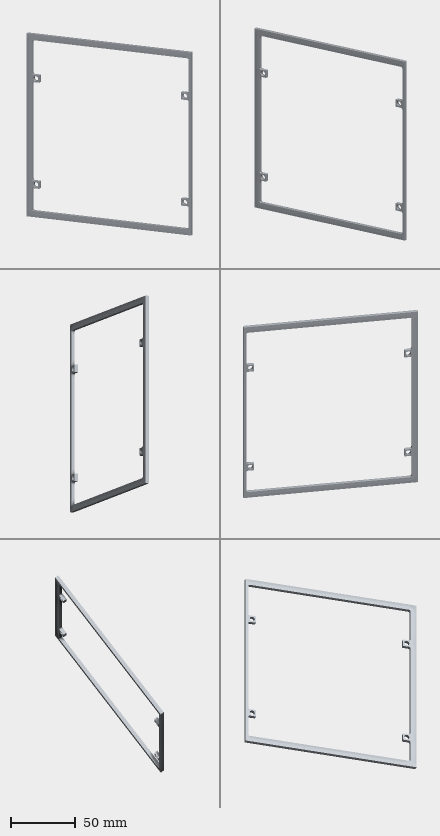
import cadquery as cq

WIDTH = 138.0
HEIGHT = 147.6
DEPTH = 3.0

BAR = 4.9
RIGHT_BAR = 2.2
CORNER_RADIUS = 1.2

TAB_HEIGHT = 5.9
LEFT_TAB_LENGTH = 5.9
RIGHT_TAB_LENGTH = 6.2
TAB_LEVELS = (38.1, -47.5)
HOLE_DIAMETER = 4.0
HOLE_FROM_TAB_END = 3.0

LEFT_INNER = -WIDTH / 2 + BAR
RIGHT_INNER = WIDTH / 2 - RIGHT_BAR
LEFT_TAB_END = LEFT_INNER + LEFT_TAB_LENGTH
RIGHT_TAB_END = RIGHT_INNER - RIGHT_TAB_LENGTH


def block(x_start, x_end, z_center, height):
    """Full-depth block between two X positions."""
    return cq.Workplane("XY").box(x_end - x_start, DEPTH, height).translate(
        ((x_start + x_end) / 2, 0, z_center)
    )


def tab_hole(x, z):
    """Screw hole running through the depth of the frame."""
    return cq.Workplane("XZ").center(x, z).circle(HOLE_DIAMETER / 2).extrude(DEPTH, both=True)


window = block(LEFT_INNER, RIGHT_INNER, 0, HEIGHT - 2 * BAR)
for level in TAB_LEVELS:
    window = window.cut(block(LEFT_INNER, LEFT_TAB_END, level, TAB_HEIGHT))
    window = window.cut(block(RIGHT_TAB_END, RIGHT_INNER, level, TAB_HEIGHT))

for bar_face in ("<X", ">X"):
    window = window.faces(bar_face).edges("|Y").fillet(CORNER_RADIUS)

result = cq.Workplane("XY").box(WIDTH, DEPTH, HEIGHT).cut(window)
for level in TAB_LEVELS:
    result = result.cut(tab_hole(LEFT_TAB_END - HOLE_FROM_TAB_END, level))
    result = result.cut(tab_hole(RIGHT_TAB_END + HOLE_FROM_TAB_END, level))